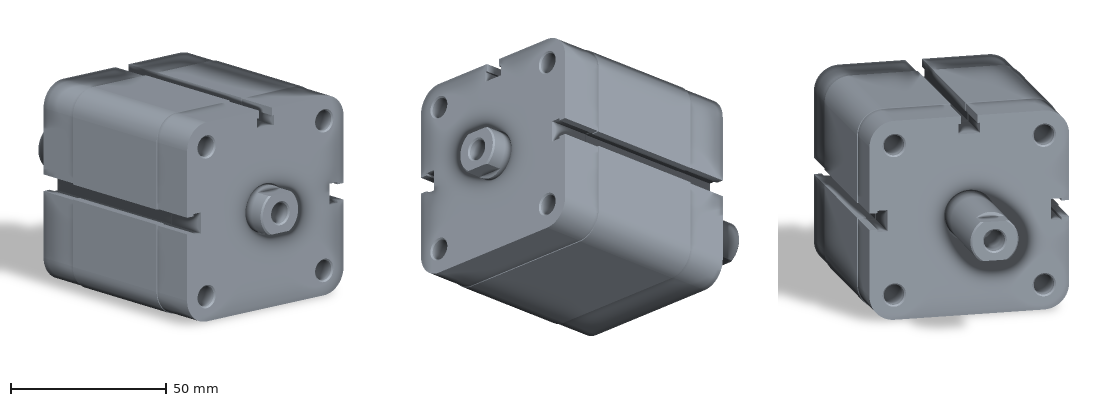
import cadquery as cq
import math


TOTAL_LENGTH = 111.0
FRONT_OVERHANG = 32.5
HOUSING_LENGTH = 71.0
CAP_LENGTH = 14.8
TUBE_LENGTH = HOUSING_LENGTH - 2 * CAP_LENGTH

TUBE_WIDTH = 67.0
CAP_INSET = 0.28
BOLT_OFFSET = 25.0
BOLT_HOLE_DIAMETER = 6.8
CHAMFER = 0.5

SLOT_MOUTH_WIDTH = 5.0
SLOT_INNER_WIDTH = 6.5
SLOT_LIP_THICKNESS = 2.9
SLOT_DEPTH = 6.0
SLOT_ANGLES = (-90, 0, 90)

ROD_DIAMETER = 16.0
FLAT_SPACING = 13.0
FLAT_LENGTH = 6.0
FLAT_RUNOUT = 0.4
TIP_HOLE_DIAMETER = 7.0
TIP_HOLE_DEPTH = 16.6
DRILL_TIP_ANGLE = 118


def section(x):
    """Workplane across the axis at x, with local axes along Y and Z."""
    return cq.Workplane("YZ", origin=(x, 0, 0))


def slot_cutter(x, length, inset):
    """T-slot on the +Z side, with side walls and floor set back by the inset."""
    mouth = SLOT_MOUTH_WIDTH / 2 + inset
    inner = SLOT_INNER_WIDTH / 2 + inset
    outside = TUBE_WIDTH / 2
    lip = TUBE_WIDTH / 2 - SLOT_LIP_THICKNESS
    floor = TUBE_WIDTH / 2 - SLOT_DEPTH - inset
    outline = [
        (-mouth, outside), (-mouth, lip), (-inner, lip), (-inner, floor),
        (inner, floor), (inner, lip), (mouth, lip), (mouth, outside),
    ]
    return section(x).polyline(outline).close().extrude(length)


def housing_block(x, length, inset):
    """Rounded square length of housing with slots, bolt holes and rod bore."""
    width = TUBE_WIDTH - 2 * inset
    corner_radius = width / 2 - BOLT_OFFSET
    block = section(x).rect(width, width).extrude(length).edges("|X").fillet(corner_radius)
    for angle in SLOT_ANGLES:
        block = block.cut(slot_cutter(x, length, inset).rotate((0, 0, 0), (1, 0, 0), angle))
    bolt_square = 2 * BOLT_OFFSET
    bolt_holes = (
        section(x).rect(bolt_square, bolt_square, forConstruction=True).vertices()
        .circle(BOLT_HOLE_DIAMETER / 2).extrude(length)
    )
    rod_bore = section(x).circle(ROD_DIAMETER / 2).extrude(length)
    return block.cut(bolt_holes).cut(rod_bore)


class HoleRims(cq.Selector):
    """Selects the closed circular edges, leaving out corner arcs."""

    def filter(self, edges):
        return [edge for edge in edges if edge.IsClosed()]


def end_cap(x, outer_face):
    """End cap with chamfered holes in its outer face ("<X" or ">X")."""
    cap = housing_block(x, CAP_LENGTH, CAP_INSET)
    return cap.faces(outer_face).edges(HoleRims()).chamfer(CHAMFER)


def flat_cutter():
    """Prism above the upper flat at the front rod end, with its sloping shoulder."""
    flat = FLAT_SPACING / 2
    top = ROD_DIAMETER / 2
    outline = [
        (0, flat), (FLAT_LENGTH, flat), (FLAT_LENGTH + FLAT_RUNOUT, top), (0, top),
    ]
    return cq.Workplane("XZ").polyline(outline).close().extrude(top, both=True)


def tip_hole_cutter():
    """Chamfered blind hole in the front rod end, with a conical drill point."""
    radius = TIP_HOLE_DIAMETER / 2
    point_depth = radius / math.tan(math.radians(DRILL_TIP_ANGLE / 2))
    outline = [
        (0, 0), (0, radius + CHAMFER), (CHAMFER, radius),
        (TIP_HOLE_DEPTH, radius), (TIP_HOLE_DEPTH + point_depth, 0),
    ]
    return cq.Workplane("XY").polyline(outline).close().revolve(360, (0, 0), (1, 0))


def piston_rod():
    """Rod with wrench flats and a blind hole at both ends."""
    rod = section(0).circle(ROD_DIAMETER / 2).extrude(TOTAL_LENGTH)
    rod = rod.faces("<X or >X").chamfer(CHAMFER)
    upper_flat = flat_cutter()
    front_cutters = [upper_flat, upper_flat.mirror("XY"), tip_hole_cutter()]
    for cutter in front_cutters:
        rear_cutter = cutter.mirror("YZ", (TOTAL_LENGTH / 2, 0, 0))
        rod = rod.cut(cutter).cut(rear_cutter)
    return rod


tube_start = FRONT_OVERHANG + CAP_LENGTH
tube_end = tube_start + TUBE_LENGTH

front_cap = end_cap(FRONT_OVERHANG, "<X")
tube = housing_block(tube_start, TUBE_LENGTH, 0)
rear_cap = end_cap(tube_end, ">X")
rod = piston_rod()

result = cq.Compound.makeCompound([front_cap.val(), tube.val(), rear_cap.val(), rod.val()])